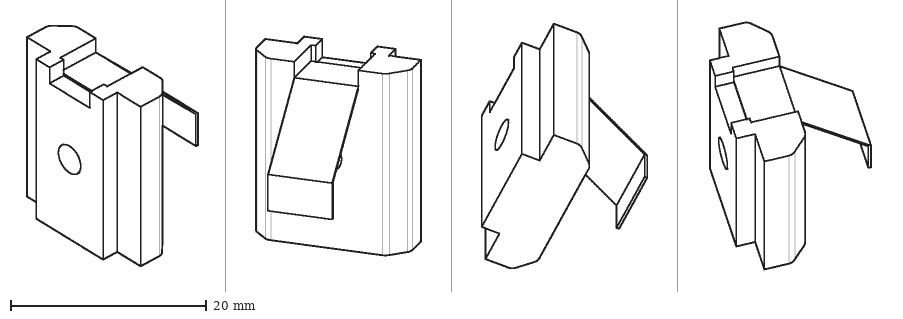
import cadquery as cq

height = 20.0
flange_width = 17.0
neck_width = 10.0
neck_depth = 2.0
block_depth = 7.0
corner_chamfer = 2.0
chamfer_edge_radius = 1.0

notch_width = 6.0
notch_depth = 2.0

hole_diameter = 3.35
hole_height = height / 2

spring_width = 7.0
spring_back = 14.78
spring_top = 18.25
spring_thickness = 0.3
tail_length = 4.0
bend_height = spring_top - (spring_back - block_depth)
tail_bottom = bend_height - tail_length


def make_block():
    """Extrude the stepped plan and round both ends of each rear chamfer."""
    flange = (
        cq.Workplane("XY")
        .box(flange_width, block_depth - neck_depth, height, centered=(True, False, False))
        .translate((0, neck_depth, 0))
        .edges("|Z and >Y")
        .chamfer(corner_chamfer)
        .edges("|Z and (not <Y)")
        .fillet(chamfer_edge_radius)
    )
    neck = cq.Workplane("XY").box(neck_width, neck_depth, height, centered=(True, False, False))
    return flange.union(neck)


def cut_notch(block):
    """Open the top of the neck and the spring recess behind it."""
    notch = (
        cq.Workplane("XY")
        .box(notch_width, neck_depth, notch_depth, centered=(True, False, False))
        .translate((0, 0, height - notch_depth))
    )
    recess = (
        cq.Workplane("XY")
        .box(spring_width, block_depth - neck_depth, notch_depth, centered=(True, False, False))
        .translate((0, neck_depth, height - notch_depth))
    )
    return block.cut(notch).cut(recess)


def cut_hole(block):
    """Drill through the block along Y."""
    hole = (
        cq.Workplane("XZ", origin=(0, 0, hole_height))
        .circle(hole_diameter / 2)
        .extrude(-block_depth)
    )
    return block.cut(hole)


def make_spring():
    """Flat seat, sloping leaf and vertical tail, extruded across X."""
    inner_face = spring_back - spring_thickness
    seat_bottom = spring_top - spring_thickness
    outline = [
        (neck_depth, spring_top),
        (block_depth, spring_top),
        (spring_back, bend_height),
        (spring_back, tail_bottom),
        (inner_face, tail_bottom),
        (inner_face, bend_height),
        (block_depth, seat_bottom),
        (neck_depth, seat_bottom),
    ]
    return cq.Workplane("YZ").polyline(outline).close().extrude(spring_width / 2, both=True)


result = cut_hole(cut_notch(make_block())).union(make_spring())